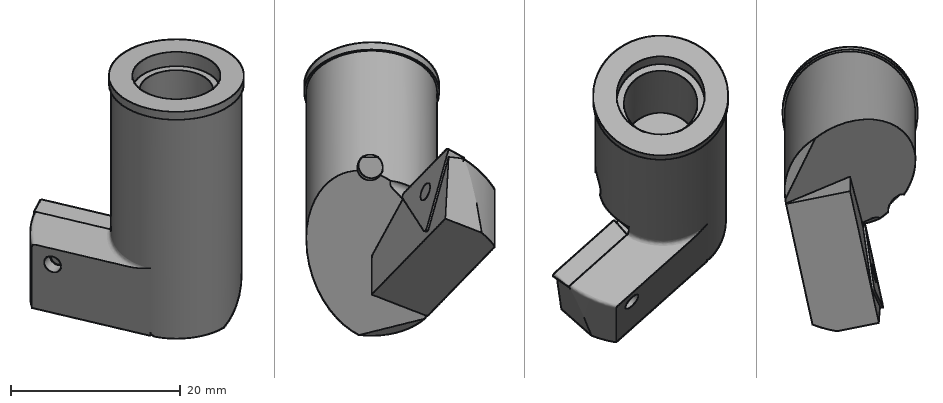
import cadquery as cq
import math

total_height = 32.0
shank_radius = 7.75
flange_radius = 8.0
flange_height = 1.12
bore_radius = 4.35
bore_floor_z = 19.2
counterbore_radius = 5.2
counterbore_depth = 2.0

trim_tilt = 42.0
trim_heading = 127.0
trim_axis_z = 5.85
trim_block = 64.0

coolant_radius = 1.5
coolant_rise = 41.0
coolant_heading = 147.0
coolant_mouth_z = 13.05
coolant_end_reach = 2.18

relief_angle = 7.0
insert_thickness = 2.37
insert_inradius = 3.17
nose_radius = 0.4
insert_tip_x = -17.8
insert_top_z = 10.0
insert_face_y = 0.3
nose_inradius = insert_inradius - nose_radius
nose_spacing = 2 * math.sqrt(3) * nose_inradius
insert_x = insert_tip_x + nose_radius + nose_spacing / 2
insert_z = insert_top_z - insert_inradius

corner_relief_radius = 0.77
corner_relief_x = -7.8
corner_relief_z = 10.62
corner_relief_bottom_z = 9.65

head_front_y = -shank_radius
head_end_bottom_x = -16.67
head_end_lean = 4.8
head_end_radius = 13.82
head_end_center_x = -3.8
head_edge_radius = 0.4
root_radius = 0.5
blank_reach = 22.4
head_blank_height = 14.4

screw_radius = 1.1
screw_tip_chamfer = 0.32
screw_recess = 1.35


def y_plane(x, y, z):
    """Plane facing +Y, with local x along -X and local y along Z."""
    return cq.Plane(origin=(x, y, z), xDir=(-1, 0, 0), normal=(0, 1, 0))


def make_trimmed_shank():
    shank = cq.Workplane().circle(shank_radius).extrude(total_height)
    heading_plane = cq.Plane.XY(origin=(0, 0, trim_axis_z)).rotated((0, 0, trim_heading))
    trim_plane = heading_plane.rotated((0, -trim_tilt, 0))
    trim = cq.Workplane(trim_plane).rect(trim_block, trim_block).extrude(-trim_block)
    return shank.cut(trim)


def make_head_blank():
    """Oversized sloped slab with the shank rising from it, filleted all along the root."""
    slope = math.tan(math.radians(relief_angle))
    front_top_z = insert_top_z - (insert_face_y + blank_reach) * slope
    back_top_z = insert_top_z + (blank_reach - insert_face_y) * slope
    slab = (
        cq.Workplane("YZ")
        .polyline([(-blank_reach, 0), (-blank_reach, front_top_z), (blank_reach, back_top_z), (blank_reach, 0)])
        .close()
        .extrude(blank_reach, both=True)
    )
    shank = cq.Workplane().circle(shank_radius).extrude(head_blank_height)
    return slab.union(shank).edges("%ELLIPSE").fillet(root_radius)


def make_head():
    """Head trimmed from its blank; its end is a leaning flat that meets an arc."""
    end_disc = (
        cq.Workplane().center(head_end_center_x, 0).circle(head_end_radius).extrude(head_blank_height)
    )
    lean_offset = head_blank_height * math.tan(math.radians(head_end_lean))
    side_profile = (
        cq.Workplane("XZ")
        .polyline([
            (0, 0),
            (head_end_bottom_x, 0),
            (head_end_bottom_x - lean_offset, head_blank_height),
            (0, head_blank_height),
        ])
        .close()
        .extrude(-head_front_y)
    )
    head = make_head_blank().intersect(end_disc).intersect(side_profile)
    end_edges = [
        edge for edge in head.edges("not(|Z)").vals()
        if edge.Center().x < insert_x
        and edge.BoundingBox().zmin > insert_z
        and head_front_y + head_edge_radius < edge.Center().y < -head_edge_radius
    ]
    return head.newObject(end_edges).fillet(head_edge_radius)


def cut_bore(body):
    bore = cq.Workplane().workplane(offset=bore_floor_z).circle(bore_radius).extrude(total_height)
    counterbore = (
        cq.Workplane()
        .workplane(offset=total_height - counterbore_depth)
        .circle(counterbore_radius)
        .extrude(counterbore_depth)
    )
    return body.cut(bore).cut(counterbore)


def cut_coolant_hole(body):
    heading = math.radians(coolant_heading)
    rise = math.radians(coolant_rise)
    outward = cq.Vector(
        math.cos(heading) * math.cos(rise),
        math.sin(heading) * math.cos(rise),
        -math.sin(rise),
    )
    mouth = cq.Vector(shank_radius * math.cos(heading), shank_radius * math.sin(heading), coolant_mouth_z)
    end_edge = cq.Vector(
        coolant_end_reach * math.cos(heading), coolant_end_reach * math.sin(heading), bore_floor_z
    )
    depth = (mouth - end_edge).dot(outward)
    start = mouth - outward * depth
    return body.cut(cq.Workplane(cq.Solid.makeCylinder(coolant_radius, depth + shank_radius, start, outward)))


def make_insert():
    """Rounded equilateral triangle, one corner down, narrowing away from its rake face."""
    return (
        cq.Workplane(y_plane(insert_x, insert_face_y, insert_z))
        .polyline([
            (-nose_spacing / 2, nose_inradius),
            (nose_spacing / 2, nose_inradius),
            (0, -2 * nose_inradius),
        ])
        .close()
        .offset2D(nose_radius, "arc")
        .extrude(-insert_thickness, taper=relief_angle)
    )


def make_screw():
    tip_y = head_front_y + screw_recess
    return (
        cq.Workplane(y_plane(insert_x, tip_y, insert_z))
        .circle(screw_radius)
        .extrude(insert_face_y - tip_y)
        .faces("<Y")
        .chamfer(screw_tip_chamfer)
    )


def make_holder(insert):
    body = make_trimmed_shank().union(make_head())
    flange = (
        cq.Workplane().workplane(offset=total_height - flange_height).circle(flange_radius).extrude(flange_height)
    )
    body = cut_bore(body.union(flange))
    body = cut_coolant_hole(body)
    pocket_floor_y = insert_face_y - insert_thickness
    relief_drop = corner_relief_z - corner_relief_bottom_z
    relief_plane = y_plane(corner_relief_x, pocket_floor_y, corner_relief_z)
    relief_top = cq.Workplane(relief_plane).circle(corner_relief_radius).extrude(shank_radius)
    relief_foot = (
        cq.Workplane(relief_plane)
        .center(0, -relief_drop / 2)
        .rect(2 * corner_relief_radius, relief_drop)
        .extrude(shank_radius)
    )
    screw_hole = (
        cq.Workplane(y_plane(insert_x, head_front_y, insert_z)).circle(screw_radius).extrude(shank_radius)
    )
    return body.cut(relief_top).cut(relief_foot).cut(insert).cut(screw_hole)


blank_insert = make_insert()
screw = make_screw()
holder = make_holder(blank_insert)
insert = blank_insert.cut(screw)

result = cq.Compound.makeCompound([holder.val(), insert.val(), screw.val()])